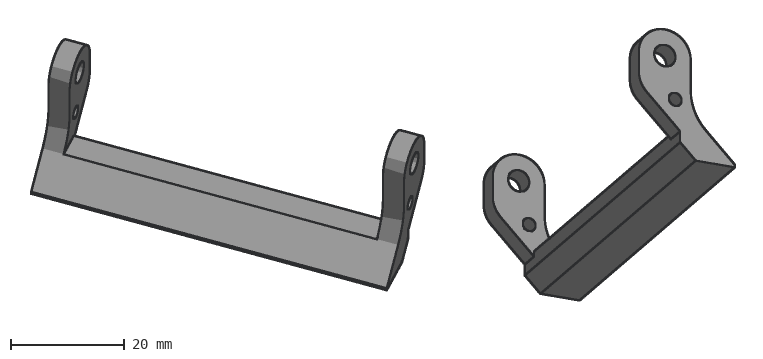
import cadquery as cq
import math


total_length = 67.0
total_depth = 18.49
total_height = 24.0

arm_thickness = 4.0
arm_radius = 5.0
pivot_hole_diameter = 4.05
small_hole_diameter = 2.46
small_hole_y = -2.0
small_hole_z = -8.0
front_bend_radius = 10.0
back_bend_radius = 5.0
back_corner_z = -6.0

beam_top_width = 5.0
tip_height = 0.5
heel_height = 3.0

back_y = arm_radius
tip_y = back_y - total_depth
bottom_z = arm_radius - total_height
tip_z = bottom_z + tip_height
front_corner_z = tip_z + (-arm_radius - tip_y)
heel_z = bottom_z + heel_height

slope_angle = math.radians(45)
half_angle = slope_angle / 2


def bend_points(corner_y, corner_z, radius):
    """Start, middle and end of a bend from straight down to down and forward (-Y)."""
    start_z = corner_z + radius * math.tan(half_angle)
    start = (corner_y, start_z)
    middle = (corner_y - radius * (1 - math.cos(half_angle)), start_z - radius * math.sin(half_angle))
    end = (corner_y - radius * (1 - math.cos(slope_angle)), start_z - radius * math.sin(slope_angle))
    return start, middle, end


front_bend = bend_points(-arm_radius, front_corner_z, front_bend_radius)
back_bend = bend_points(back_y, back_corner_z, back_bend_radius)

ridge_y, ridge_z = front_bend[2]
beam_back_y = ridge_y + beam_top_width
step_z = back_corner_z + (beam_back_y - back_y)
heel_y = beam_back_y - heel_height


def make_arm(start_x):
    """Full end profile, from the rounded pivot end down to the beam's tip."""
    return (
        cq.Workplane("YZ", origin=(start_x, 0, 0))
        .moveTo(-arm_radius, 0)
        .threePointArc((0, arm_radius), (back_y, 0))
        .lineTo(*back_bend[0])
        .threePointArc(back_bend[1], back_bend[2])
        .lineTo(beam_back_y, step_z)
        .lineTo(beam_back_y, heel_z)
        .lineTo(heel_y, bottom_z)
        .lineTo(tip_y, bottom_z)
        .lineTo(tip_y, tip_z)
        .lineTo(ridge_y, ridge_z)
        .threePointArc(front_bend[1], front_bend[0])
        .close()
        .extrude(arm_thickness)
    )


def make_beam():
    """Blade-shaped bar with a flat top, running the whole length."""
    outline = [
        (ridge_y, ridge_z),
        (beam_back_y, ridge_z),
        (beam_back_y, heel_z),
        (heel_y, bottom_z),
        (tip_y, bottom_z),
        (tip_y, tip_z),
    ]
    return (
        cq.Workplane("YZ", origin=(-total_length / 2, 0, 0))
        .polyline(outline)
        .close()
        .extrude(total_length)
    )


def make_hole(y, z, diameter):
    """Cutter along X through both arms."""
    return (
        cq.Workplane("YZ", origin=(-total_length / 2, y, z))
        .circle(diameter / 2)
        .extrude(total_length)
    )


result = make_beam()
for arm_start_x in (-total_length / 2, total_length / 2 - arm_thickness):
    result = result.union(make_arm(arm_start_x))
result = result.cut(make_hole(0, 0, pivot_hole_diameter))
result = result.cut(make_hole(small_hole_y, small_hole_z, small_hole_diameter))
result = result.clean()